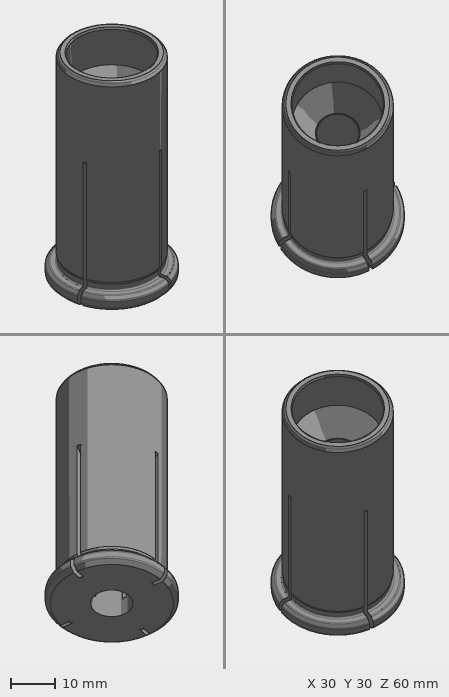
import cadquery as cq
import math

HEIGHT = 60.0
BODY_RADIUS = 25.0 / 2
TIP_ROUND_START_RADIUS = 12.05
TIP_RADIUS = 11.65
TIP_CHAMFER_HEIGHT = 0.65
TIP_ROUND_HEIGHT = 0.4

NECK_RADIUS = 12.3
NECK_BOTTOM = 4.45
NECK_TOP = 5.75
NECK_TAPER_HEIGHT = 0.6

FLANGE_RADIUS = 15.0
FLANGE_HEIGHT = 4.0
FOOT_CHAMFER = 1.15
FLANGE_CHAMFER = 0.95
RIM_BLEND_RADIUS = 0.55
FLANGE_TOP_BLEND_RADIUS = 0.4

MOUTH_CHAMFER = 0.25
MOUTH_CHAMFER_DEPTH = 0.55
SOCKET_RADIUS = 20.5 / 2
SOCKET_FLOOR = 50.0
FUNNEL_END_RADIUS = 10.0 / 2
FUNNEL_ANGLE = 45.0
BORE_RADIUS = 9.55 / 2

SLOT_COUNT = 4
SLOT_WIDTH = 0.95
SLOT_TOP = 37.6
SLOT_TOP_ANGLE = 45.0
SLOT_BOTTOM = 4.8
SLOT_BOTTOM_ANGLE = 35.0

CUT_MARGIN = 0.6


def drop(run, angle):
    """Height change of a slope over a horizontal run."""
    return run * math.tan(math.radians(angle))


def revolve_about_z(profile):
    return profile.close().revolve(360, (0, 0, 0), (0, 1, 0))


def make_body():
    neck_blend = NECK_BOTTOM - FLANGE_HEIGHT
    tip_round_base = HEIGHT - TIP_ROUND_HEIGHT
    profile = (
        cq.Workplane("XZ")
        .lineTo(NECK_RADIUS, 0)
        .lineTo(NECK_RADIUS, NECK_TOP)
        .lineTo(BODY_RADIUS, NECK_TOP + NECK_TAPER_HEIGHT)
        .lineTo(BODY_RADIUS, tip_round_base - TIP_CHAMFER_HEIGHT)
        .lineTo(TIP_ROUND_START_RADIUS, tip_round_base)
        .tangentArcPoint((TIP_RADIUS, HEIGHT), relative=False)
        .lineTo(0, HEIGHT)
    )
    flange = cq.Workplane("XY").circle(FLANGE_RADIUS).extrude(FLANGE_HEIGHT)
    flange = flange.faces("<Z").edges().chamfer(FOOT_CHAMFER)
    flange = flange.faces(">Z").edges().chamfer(FLANGE_CHAMFER)
    rim = cq.selectors.RadiusNthSelector(-1)
    flange = flange.edges(rim).fillet(RIM_BLEND_RADIUS)
    flange = flange.faces(">Z").edges().fillet(FLANGE_TOP_BLEND_RADIUS)
    neck_fillet = revolve_about_z(
        cq.Workplane("XZ")
        .moveTo(0, FLANGE_HEIGHT)
        .lineTo(0, NECK_BOTTOM)
        .lineTo(NECK_RADIUS, NECK_BOTTOM)
        .radiusArc((NECK_RADIUS + neck_blend, FLANGE_HEIGHT), -neck_blend)
    )
    return revolve_about_z(profile).union(flange).union(neck_fillet)


def make_bore():
    mouth_radius = SOCKET_RADIUS + MOUTH_CHAMFER
    funnel_end = SOCKET_FLOOR - drop(SOCKET_RADIUS - FUNNEL_END_RADIUS, FUNNEL_ANGLE)
    return revolve_about_z(
        cq.Workplane("XZ")
        .moveTo(0, -CUT_MARGIN)
        .lineTo(BORE_RADIUS, -CUT_MARGIN)
        .lineTo(BORE_RADIUS, funnel_end)
        .lineTo(FUNNEL_END_RADIUS, funnel_end)
        .lineTo(SOCKET_RADIUS, SOCKET_FLOOR)
        .lineTo(SOCKET_RADIUS, HEIGHT - MOUTH_CHAMFER_DEPTH)
        .lineTo(mouth_radius, HEIGHT)
        .lineTo(mouth_radius, HEIGHT + CUT_MARGIN)
        .lineTo(0, HEIGHT + CUT_MARGIN)
    )


def make_slot():
    """Slot along +X whose height grows from the bore towards the outside."""
    outer = FLANGE_RADIUS + CUT_MARGIN
    bottom_at_axis = SLOT_BOTTOM + drop(BORE_RADIUS, SLOT_BOTTOM_ANGLE)
    top_at_axis = SLOT_TOP - drop(BODY_RADIUS, SLOT_TOP_ANGLE)
    return (
        cq.Workplane("XZ")
        .moveTo(0, bottom_at_axis)
        .lineTo(outer, bottom_at_axis - drop(outer, SLOT_BOTTOM_ANGLE))
        .lineTo(outer, top_at_axis + drop(outer, SLOT_TOP_ANGLE))
        .lineTo(0, top_at_axis)
        .close()
        .extrude(SLOT_WIDTH / 2, both=True)
    )


result = make_body().cut(make_bore())
slot = make_slot()
for index in range(SLOT_COUNT):
    result = result.cut(slot.rotate((0, 0, 0), (0, 0, 1), index * 360 / SLOT_COUNT))